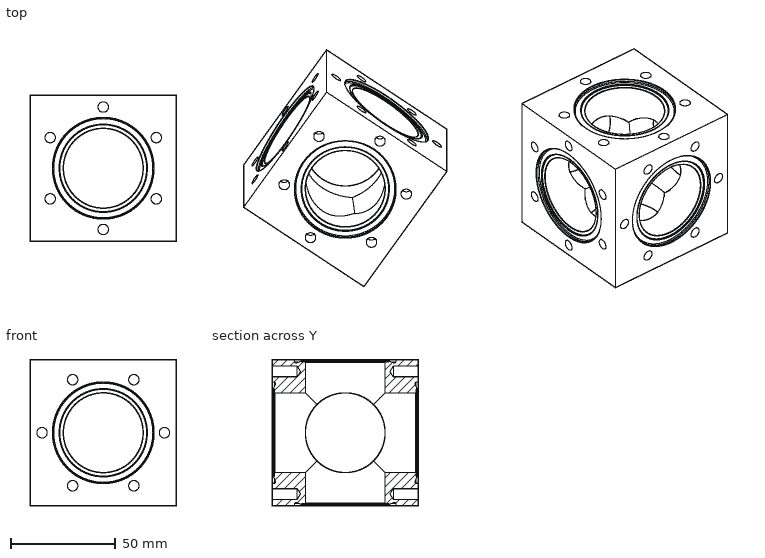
import cadquery as cq
import math

cube_size = 70.1
half_size = cube_size / 2

bore_diameter = 38.1

recess_diameter = 48.49
recess_wall_depth = 1.1
rim_chamfer = 0.2
groove_diameter = 47.5
groove_depth = 1.55
knife_diameter = 42.01
knife_slope_angle = 20.0
knife_tip_width = 0.2
seat_floor_depth = 1.1
knife_back_offset = 0.2
bore_chamfer = 0.2

bolt_count = 6
bolt_circle_diameter = 58.7
bolt_hole_diameter = 5.0
bolt_hole_depth = 12.0
drill_point_angle = 118.0

faces = [
    ((0, -1, 0), (1, 0, 0)),
    ((0, 1, 0), (1, 0, 0)),
    ((0, 0, 1), (0, 1, 0)),
    ((0, 0, -1), (0, 1, 0)),
    ((-1, 0, 0), (0, 0, 1)),
    ((1, 0, 0), (0, 0, 1)),
]


def revolve_profile(points):
    """Revolve (radius, height) points about the local Z axis."""
    return cq.Workplane("XZ").polyline(points).close().revolve(360, (0, 0), (0, 1))


def make_gasket_seat():
    """Volume removed for the recess, its outer groove, the knife edge and the bore chamfer."""
    recess_radius = recess_diameter / 2
    groove_radius = groove_diameter / 2
    knife_radius = knife_diameter / 2
    bore_radius = bore_diameter / 2
    knife_slope_radius = knife_radius + knife_tip_width
    knife_height = (groove_radius - knife_slope_radius) * math.tan(math.radians(knife_slope_angle))
    knife_tip_depth = groove_depth - knife_height
    return revolve_profile([
        (0, 0),
        (recess_radius + rim_chamfer, 0),
        (recess_radius, -rim_chamfer),
        (recess_radius, -recess_wall_depth),
        (groove_radius, -groove_depth),
        (knife_slope_radius, -knife_tip_depth),
        (knife_radius, -knife_tip_depth),
        (knife_radius - knife_back_offset, -seat_floor_depth),
        (bore_radius + bore_chamfer, -seat_floor_depth),
        (bore_radius, -seat_floor_depth - bore_chamfer),
        (0, -seat_floor_depth - bore_chamfer),
    ])


def make_bolt_holes():
    """Ring of drilled holes, the first one on the local X axis."""
    hole_radius = bolt_hole_diameter / 2
    point_length = hole_radius / math.tan(math.radians(drill_point_angle / 2))
    hole = revolve_profile([
        (0, 0),
        (hole_radius, 0),
        (hole_radius, -bolt_hole_depth),
        (0, -bolt_hole_depth - point_length),
    ]).translate((bolt_circle_diameter / 2, 0, 0))
    holes = cq.Workplane("XY")
    for index in range(bolt_count):
        holes = holes.add(hole.rotate((0, 0, 0), (0, 0, 1), index * 360 / bolt_count))
    return holes


def make_port():
    """Everything cut from one face: bore to the cube centre, seat and bolt holes."""
    bore = cq.Workplane("XY").circle(bore_diameter / 2).extrude(-half_size)
    return bore.union(make_gasket_seat()).add(make_bolt_holes()).combine()


def place_on_face(tool, normal, first_hole_direction):
    """Move a cutting tool so its local Z axis points out of the given face."""
    origin = tuple(half_size * component for component in normal)
    plane = cq.Plane(origin=origin, xDir=first_hole_direction, normal=normal)
    return tool.val().moved(cq.Location(plane))


body = cq.Workplane("XY").box(cube_size, cube_size, cube_size)
port = make_port()
for face_normal, first_hole_axis in faces:
    port_on_face = place_on_face(port, face_normal, first_hole_axis)
    body = body.cut(cq.Workplane(obj=port_on_face))

result = cq.Workplane(obj=body.solids().val())